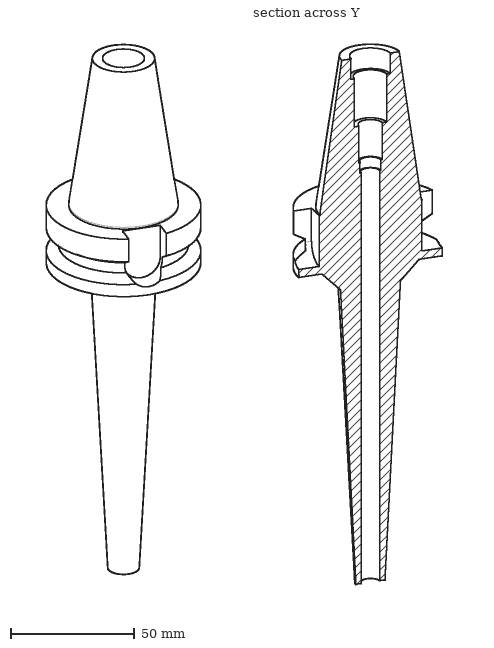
import cadquery as cq
import math

total_length = 230.5

taper_length = 65.5
gauge_diameter = 44.5
taper_ratio = 7 / 24
collar_length = 1.0

flange_diameter = 63.0
flange_drop = 27.0
groove_drop = 16.4
groove_floor_diameter = 53.0
groove_floor_width = 4.5
groove_wall_angle = 30

slot_width = 16.1
slot_flat_distance = 22.5
slot_drop = 23.3

neck_top_diameter = 42.6
neck_height = 8.0
shank_top_diameter = 26.5
tip_diameter = 13.0

entry_diameter = 17.0
entry_depth = 9.0
thread_diameter = 14.0
thread_depth = 30.0
channel_diameter = 10.1
channel_depth = 46.0
channel_step_diameter = 9.0
channel_step_depth = 50.7
through_diameter = 8.0

gauge_z = total_length - taper_length
flange_top_z = gauge_z - collar_length
flange_bottom_z = gauge_z - flange_drop
groove_z = gauge_z - groove_drop
shank_top_z = flange_bottom_z - neck_height
gauge_radius = gauge_diameter / 2
taper_top_radius = (gauge_diameter - taper_length * taper_ratio) / 2
flange_radius = flange_diameter / 2
groove_floor_radius = groove_floor_diameter / 2
floor_half = groove_floor_width / 2
groove_depth = flange_radius - groove_floor_radius
mouth_half = floor_half + groove_depth * math.tan(math.radians(groove_wall_angle))


def make_body():
    """Revolve the half profile of the holder about Z."""
    profile = [
        (0, 0),
        (tip_diameter / 2, 0),
        (shank_top_diameter / 2, shank_top_z),
        (neck_top_diameter / 2, flange_bottom_z),
        (flange_radius, flange_bottom_z),
        (flange_radius, groove_z - mouth_half),
        (groove_floor_radius, groove_z - floor_half),
        (groove_floor_radius, groove_z + floor_half),
        (flange_radius, groove_z + mouth_half),
        (flange_radius, flange_top_z),
        (gauge_radius, flange_top_z),
        (gauge_radius, gauge_z),
        (taper_top_radius, total_length),
        (0, total_length),
    ]
    return cq.Workplane("XZ").polyline(profile).close().revolve(360, (0, 0), (0, 1))


def make_drive_slot(side):
    """Round-ended slot cutter, open at the flange top; side is +1 or -1 along X."""
    radius = slot_width / 2
    arc_z = gauge_z - slot_drop + radius
    return (
        cq.Workplane("YZ", origin=(side * slot_flat_distance, 0, 0))
        .moveTo(-radius, gauge_z)
        .lineTo(-radius, arc_z)
        .threePointArc((0, arc_z - radius), (radius, arc_z))
        .lineTo(radius, gauge_z)
        .close()
        .extrude(side * flange_radius)
    )


def make_bore(diameter, depth):
    """Round cutter going down from the small end of the taper."""
    return cq.Workplane("XY", origin=(0, 0, total_length)).circle(diameter / 2).extrude(-depth)


result = make_body()
for slot_side in (-1, 1):
    result = result.cut(make_drive_slot(slot_side))

bore_steps = [
    (entry_diameter, entry_depth),
    (thread_diameter, thread_depth),
    (channel_diameter, channel_depth),
    (channel_step_diameter, channel_step_depth),
    (through_diameter, total_length),
]
for step_diameter, step_depth in bore_steps:
    result = result.cut(make_bore(step_diameter, step_depth))